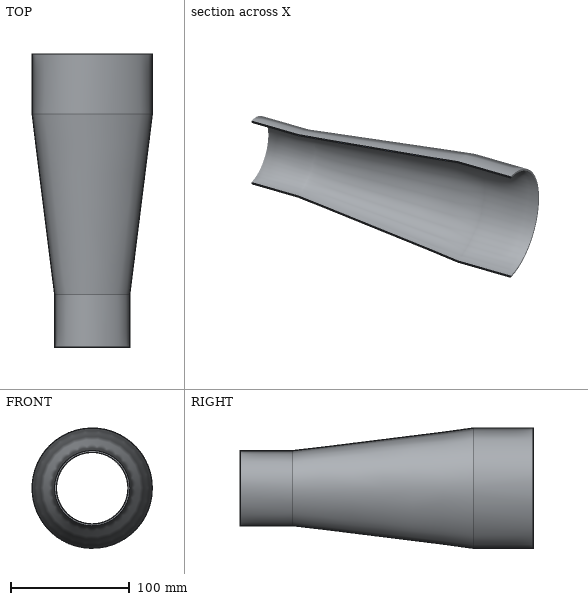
import cadquery as cq

large_diameter = 101.6
small_diameter = 63.5
wall = 1.65
small_tube_length = 44.45
cone_length = 152.4
large_tube_length = 50.8

cone_start = small_tube_length
cone_end = cone_start + cone_length
total_length = cone_end + large_tube_length


def reducer_solid(small_radius, large_radius):
    """Solid of revolution: small cylinder, cone and large cylinder."""
    half_profile = (
        cq.Workplane("XY")
        .moveTo(0, 0)
        .lineTo(small_radius, 0)
        .lineTo(small_radius, cone_start)
        .lineTo(large_radius, cone_end)
        .lineTo(large_radius, total_length)
        .lineTo(0, total_length)
        .close()
    )
    return half_profile.revolve(360, (0, 0, 0), (0, 1, 0))


outer_body = reducer_solid(small_diameter / 2, large_diameter / 2)
bore = reducer_solid(small_diameter / 2 - wall, large_diameter / 2 - wall)

result = outer_body.cut(bore)